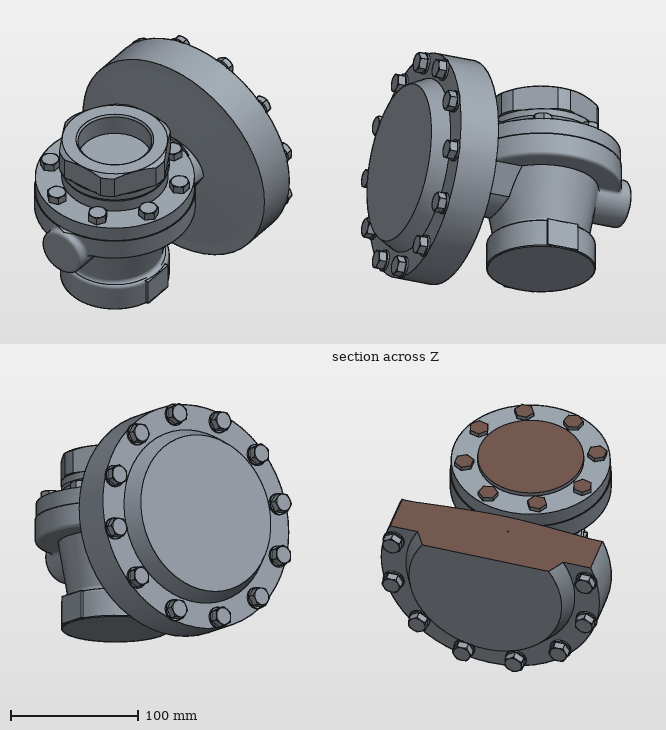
import cadquery as cq
import math

overall_length = 191.9

case_radius = 179.4 / 2
cap_back_y = 121.8
case_back_y = 108.4
case_rim_y = 76.2
case_face_y = 71.2
cap_back_radius = 62.7
cap_base_radius = 69.5
cone_outer_radius = 81.0
cone_inner_radius = 35.5
vent_radius = 5.8
vent_offset = 40.1
vent_depth = 15.3

case_screw_count = 12
case_screw_circle = 82.0
case_screw_washer_radius = 8.5
case_screw_washer_height = 1.5
case_screw_height = 7.9
case_screw_twist = -180 / case_screw_count

screw_head_across_flats = 13.6
screw_head_corner_radius = 7.9
screw_head_top_radius = 6.7
hex_chamfer_angle = 30.0

neck_half_width = 33.2
neck_arch_height = 25.0
neck_lower_radius = 30.0
neck_side_drop = 22.3
neck_clearance_radius = 71.0

body_flange_radius = 63.3
body_flange_top_z = 19.0
body_flange_rounding = 2.9
body_top_radius = 45.3
body_bottom_radius = 37.8
body_bottom_z = -42.8

collar_radius = 42.8
collar_root_z = -46.0
collar_root_radius = 3.5
collar_bottom_z = -69.5
collar_rounding = 2.9
collar_chamfer = 0.8
collar_pad_half_width = 12.9
collar_pad_top_z = -46.6

boss_radius = body_flange_top_z
boss_front_y = cap_back_y - overall_length
boss_rounding = 2.9
boss_root_fillet = 2.9

cover_radius = 62.5
cover_top_z = 31.8
cover_bolt_count = 8
cover_bolt_circle = 52.5
cover_bolt_height = 6.5
cover_bolt_twist = 7.5
stem_radius = 41.8
shoulder_radius = 42.8
shoulder_bottom_z = 44.1
shoulder_taper = 2.1
nut_bottom_z = 49.7
nut_top_z = 70.0
nut_across_flats = 83.3
nut_corner_radius = 45.3
nut_top_radius = 41.5
bore_radius = 29.0
bore_depth = 18.5
bore_chamfer = 1.5


def chamfered_hexagon(across_flats, corner_radius, top_radius, height):
    """Hexagon with turned-down corners and a chamfered top, standing on z = 0."""
    corner_circle = across_flats / math.cos(math.pi / 6)
    chamfer_drop = (corner_radius - top_radius) * math.tan(math.radians(hex_chamfer_angle))
    envelope = (
        cq.Workplane("XZ")
        .polyline([
            (0, 0),
            (corner_radius, 0),
            (corner_radius, height - chamfer_drop),
            (top_radius, height),
            (0, height),
        ])
        .close()
        .revolve(360, (0, 0), (0, 1))
    )
    return cq.Workplane("XY").polygon(6, corner_circle).extrude(height).intersect(envelope)


def screw_head(height, twist):
    head = chamfered_hexagon(
        screw_head_across_flats, screw_head_corner_radius, screw_head_top_radius, height
    )
    return head.rotate((0, 0, 0), (0, 0, 1), twist)


def make_case():
    """Round case with a raised cap behind and a shallow cone in front."""
    profile = [
        (0, case_face_y),
        (cone_inner_radius, case_face_y),
        (cone_outer_radius, case_rim_y),
        (case_radius, case_rim_y),
        (case_radius, case_back_y),
        (cap_base_radius, case_back_y),
        (cap_back_radius, cap_back_y),
        (0, cap_back_y),
    ]
    case = cq.Workplane("XY").polyline(profile).close().revolve(360, (0, 0), (0, 1))
    vent = (
        cq.Workplane("XZ", origin=(-vent_offset, case_face_y, -vent_offset))
        .circle(vent_radius)
        .extrude(-vent_depth)
    )
    return case.cut(vent)


def make_case_screws():
    """Washer-faced hex screws on the back of the case rim."""
    washer = cq.Workplane("XY").circle(case_screw_washer_radius).extrude(case_screw_washer_height)
    screw = washer.union(screw_head(case_screw_height, case_screw_twist))
    screw = screw.rotate((0, 0, 0), (1, 0, 0), -90)
    screw = screw.translate((case_screw_circle, case_back_y, 0))
    step = 360 / case_screw_count
    screws = cq.Workplane("XY")
    for i in range(case_screw_count):
        screws.add(screw.rotate((0, 0, 0), (0, 1, 0), (i + 0.5) * step))
    return screws


def make_neck():
    """Arched neck with sloping lower sides, cleared around the cover flange."""
    side_x = math.sqrt(neck_lower_radius**2 - neck_side_drop**2)
    neck = (
        cq.Workplane("XZ")
        .moveTo(side_x, -neck_side_drop)
        .lineTo(neck_half_width, 0)
        .ellipseArc(neck_half_width, neck_arch_height, 0, 180, startAtCurrent=True)
        .lineTo(-side_x, -neck_side_drop)
        .threePointArc((0, -neck_lower_radius), (side_x, -neck_side_drop))
        .close()
        .extrude(-case_face_y)
    )
    clearance = (
        cq.Workplane("XY", origin=(0, 0, body_flange_top_z))
        .circle(neck_clearance_radius)
        .extrude(neck_arch_height)
    )
    return neck.cut(clearance)


def make_body():
    """Tapered body with a round flange on top and the boss in front."""
    cone = (
        cq.Workplane("XZ")
        .polyline([
            (0, 0),
            (body_top_radius, 0),
            (body_bottom_radius, body_bottom_z),
            (0, body_bottom_z),
        ])
        .close()
        .revolve(360, (0, 0), (0, 1))
    )
    flange = (
        cq.Workplane("XY")
        .circle(body_flange_radius)
        .extrude(2 * body_flange_top_z)
        .faces("<Z")
        .edges()
        .fillet(body_flange_rounding)
    )
    boss = cq.Workplane("XZ").circle(boss_radius).extrude(-boss_front_y)

    root_zone = cq.selectors.BoxSelector(
        (-body_top_radius / 2, -body_flange_radius, -body_top_radius / 2),
        (body_top_radius / 2, -body_bottom_radius, body_top_radius / 2),
    )
    body = cone.union(flange).union(boss).edges(root_zone).fillet(boss_root_fillet)
    body = body.faces("<Y").edges().fillet(boss_rounding)
    above_flange = (
        cq.Workplane("XY", origin=(0, 0, body_flange_top_z))
        .circle(2 * body_flange_radius)
        .extrude(2 * body_flange_top_z)
    )
    return body.cut(above_flange)


def make_collar():
    """Outlet collar, blended into the body and carrying two wrench pads."""
    root_x = collar_radius - collar_rounding
    shoulder_z = collar_root_z - collar_rounding
    collar = (
        cq.Workplane("XZ")
        .moveTo(0, body_bottom_z)
        .lineTo(body_bottom_radius, body_bottom_z)
        .radiusArc((root_x, collar_root_z), -collar_root_radius)
        .radiusArc((collar_radius, shoulder_z), collar_rounding)
        .lineTo(collar_radius, collar_bottom_z + collar_chamfer)
        .lineTo(collar_radius - collar_chamfer, collar_bottom_z)
        .lineTo(0, collar_bottom_z)
        .close()
        .revolve(360, (0, 0), (0, 1))
    )
    pads = (
        cq.Workplane("XY", origin=(0, 0, collar_bottom_z + collar_chamfer))
        .rect(2 * collar_radius, 2 * collar_pad_half_width)
        .extrude(collar_pad_top_z - collar_bottom_z - collar_chamfer)
    )
    return collar.union(pads)


def make_cover():
    """Cover flange and stepped stem below the nut."""
    return (
        cq.Workplane("XZ")
        .polyline([
            (0, body_flange_top_z),
            (cover_radius, body_flange_top_z),
            (cover_radius, cover_top_z),
            (stem_radius, cover_top_z),
            (stem_radius, shoulder_bottom_z - shoulder_taper),
            (shoulder_radius, shoulder_bottom_z),
            (shoulder_radius, nut_bottom_z),
            (0, nut_bottom_z),
        ])
        .close()
        .revolve(360, (0, 0), (0, 1))
    )


def make_cover_bolts():
    bolt = screw_head(cover_bolt_height, cover_bolt_twist)
    bolt = bolt.translate((cover_bolt_circle, 0, cover_top_z))
    step = 360 / cover_bolt_count
    bolts = cq.Workplane("XY")
    for i in range(cover_bolt_count):
        bolts.add(bolt.rotate((0, 0, 0), (0, 0, 1), (i + 0.5) * step))
    return bolts


def make_nut():
    nut = chamfered_hexagon(
        nut_across_flats, nut_corner_radius, nut_top_radius, nut_top_z - nut_bottom_z
    )
    return nut.translate((0, 0, nut_bottom_z))


def make_bore():
    """Blind bore in the nut with a chamfered mouth."""
    floor_z = nut_top_z - bore_depth
    return (
        cq.Workplane("XZ")
        .polyline([
            (0, floor_z),
            (bore_radius, floor_z),
            (bore_radius, nut_top_z - bore_chamfer),
            (bore_radius + bore_chamfer, nut_top_z),
            (0, nut_top_z),
        ])
        .close()
        .revolve(360, (0, 0), (0, 1))
    )


valve = make_body().union(make_collar()).union(make_cover()).union(make_nut()).cut(make_bore())
result = valve.union(make_neck()).union(make_case())
for group in (make_case_screws(), make_cover_bolts()):
    for fastener in group.vals():
        result = result.union(cq.Workplane(fastener))